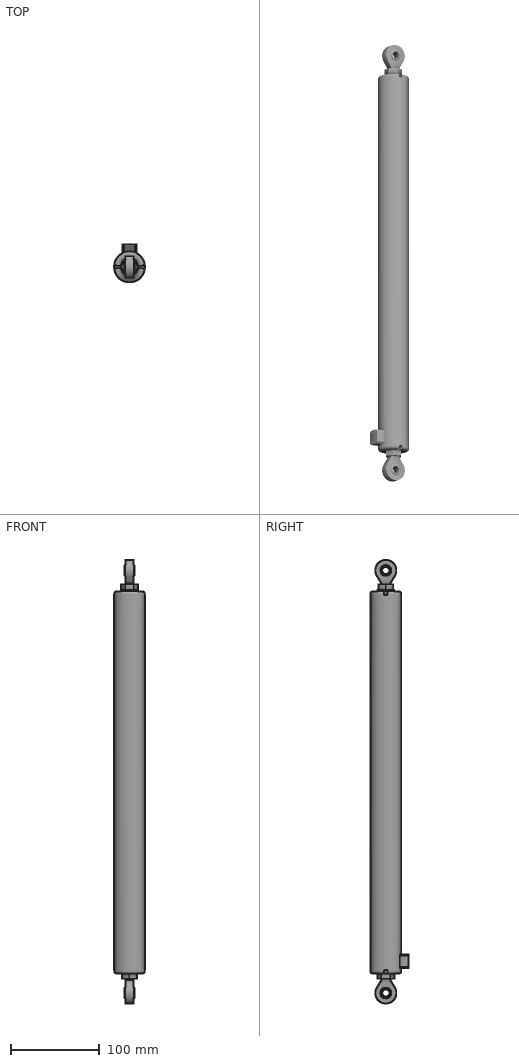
import cadquery as cq
import math

eye_spacing = 476.0
body_bottom = 21.85
body_top = 452.5

body_diameter = 35.0
end_fillet = 3.0

nut_across_flats = 17.0
nut_height = 6.0
collar_diameter = 19.2
collar_height = 2.0

spanner_hole_diameter = 4.8
spanner_hole_inset = 2.0
spanner_hole_depth = (body_diameter - collar_diameter) / 2

eye_radius = 12.0
eye_thickness = 9.5
eye_bore = 8.0
ball_width = 12.0
ball_face_diameter = 10.0
ball_diameter = math.hypot(ball_width, ball_face_diameter)
flank_angle = math.radians(32)
neck_width = 10.0

port_size = 16.0
port_chamfer = 2.0
port_face_y = 25.74
port_z = 35.75

contact_hole_diameter = 2.46
contact_hole_spacing = 4.6
contact_hole_rise = 6.4
contact_hole_depth = 8.6


def make_nut(base_z, corner_angle):
    """Hexagonal nut on the Z axis, with one corner at corner_angle degrees from +X."""
    corner_diameter = nut_across_flats / math.cos(math.pi / 6)
    nut = cq.Workplane("XY").polygon(6, corner_diameter).extrude(nut_height)
    return nut.rotate((0, 0, 0), (0, 0, 1), corner_angle).translate((0, 0, base_z))


def make_eye(neck_length):
    """Eye centred on the origin, bored along X, with its neck reaching neck_length down."""
    neck_y = neck_width / 2
    tangent_y = eye_radius * math.cos(flank_angle)
    tangent_z = -eye_radius * math.sin(flank_angle)
    flank_end_z = tangent_z - (tangent_y - neck_y) / math.tan(flank_angle)
    plate = (
        cq.Workplane("YZ")
        .moveTo(-neck_y, -neck_length)
        .lineTo(-neck_y, flank_end_z)
        .lineTo(-tangent_y, tangent_z)
        .threePointArc((0, eye_radius), (tangent_y, tangent_z))
        .lineTo(neck_y, flank_end_z)
        .lineTo(neck_y, -neck_length)
        .close()
        .extrude(eye_thickness / 2, both=True)
    )
    ball_x = ball_width / 2
    ball_face_y = ball_face_diameter / 2
    ball = (
        cq.Workplane("XY")
        .moveTo(-ball_x, 0)
        .lineTo(-ball_x, ball_face_y)
        .threePointArc((0, ball_diameter / 2), (ball_x, ball_face_y))
        .lineTo(ball_x, 0)
        .close()
        .revolve(360, (0, 0, 0), (1, 0, 0))
    )
    bore = cq.Workplane("YZ").circle(eye_bore / 2).extrude(ball_width, both=True)
    return plate.union(ball).cut(bore)


def make_barrel():
    """Plain round barrel with rounded ends."""
    barrel = cq.Workplane("XY", origin=(0, 0, body_bottom)).circle(body_diameter / 2)
    return barrel.extrude(body_top - body_bottom).faces("<Z or >Z").edges().fillet(end_fillet)


def make_spanner_hole(side, z):
    """Cutter for one radial hole on the +X (side 1) or -X (side -1) side of the barrel."""
    floor_x = side * (body_diameter / 2 - spanner_hole_depth)
    hole = cq.Workplane("YZ", origin=(floor_x, 0, z)).circle(spanner_hole_diameter / 2)
    return hole.extrude(side * body_diameter)


def make_port():
    """Square block with chamfered long edges, running from the barrel axis out to +Y."""
    block = cq.Workplane("XZ", origin=(0, 0, port_z)).rect(port_size, port_size).extrude(-port_face_y)
    return block.edges("|Y").chamfer(port_chamfer)


def make_contact_hole(x):
    """Cutter for one blind hole in the outer face of the port block."""
    hole = cq.Workplane("XZ", origin=(x, port_face_y, port_z + contact_hole_rise))
    return hole.circle(contact_hole_diameter / 2).extrude(contact_hole_depth)


cylinder = make_barrel().union(make_port())
for end_z in (body_bottom + spanner_hole_inset, body_top - spanner_hole_inset):
    for side in (-1, 1):
        cylinder = cylinder.cut(make_spanner_hole(side, end_z))
for x in (-contact_hole_spacing / 2, contact_hole_spacing / 2):
    cylinder = cylinder.cut(make_contact_hole(x))
lower_nut_base = body_bottom - nut_height
lower_eye = make_eye(lower_nut_base).rotate((0, 0, 0), (1, 0, 0), 180)
cylinder = cylinder.union(make_nut(lower_nut_base, 90)).union(lower_eye)

upper_nut_base = body_top + collar_height
upper_nut_top = upper_nut_base + nut_height
upper_eye = make_eye(eye_spacing - upper_nut_top).translate((0, 0, eye_spacing))
collar = cq.Workplane("XY", origin=(0, 0, body_top)).circle(collar_diameter / 2).extrude(collar_height)
rod = collar.union(make_nut(upper_nut_base, 0)).union(upper_eye)

result = cq.Compound.makeCompound([cylinder.val(), rod.val()])